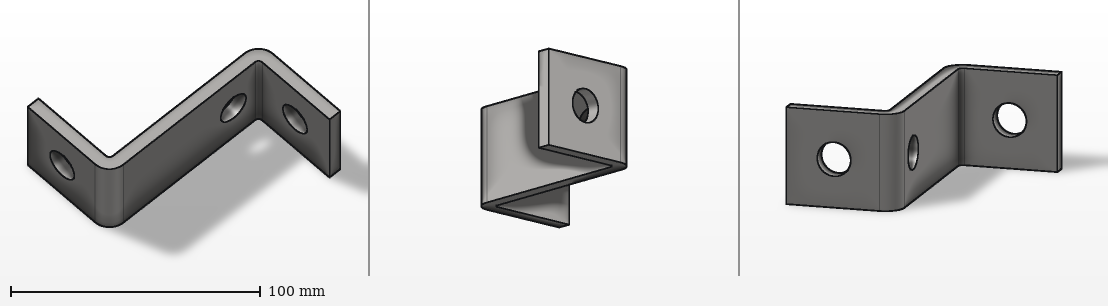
import cadquery as cq

overall_length = 88.0
overall_depth = 89.0
bar_width = 40.0
thickness = 6.0
inner_bend_radius = 2.0
outer_bend_radius = inner_bend_radius + thickness
hole_diameter = 14.0
flange_hole_from_tip = 20.0
web_hole_from_back = 20.0

tip_x = overall_length / 2
face_y = overall_depth / 2
web_half = thickness / 2
flange_mid_y = face_y - thickness / 2
flange_hole_x = tip_x - flange_hole_from_tip
web_hole_y = face_y - web_hole_from_back


def bent_bar():
    """Sharp-cornered Z profile, extruded along Z, with its bends rounded."""
    outline = [
        (-tip_x, -face_y),
        (web_half, -face_y),
        (web_half, face_y - thickness),
        (tip_x, face_y - thickness),
        (tip_x, face_y),
        (-web_half, face_y),
        (-web_half, -face_y + thickness),
        (-tip_x, -face_y + thickness),
    ]
    bar = cq.Workplane("XY").polyline(outline).close().extrude(bar_width / 2, both=True)
    outer_corners = [(web_half, -face_y), (-web_half, face_y)]
    inner_corners = [(web_half, face_y - thickness), (-web_half, -face_y + thickness)]
    bar = round_corners(bar, outer_corners, outer_bend_radius)
    return round_corners(bar, inner_corners, inner_bend_radius)


def round_corners(body, corners, radius):
    """Fillet the vertical edges that stand at the given XY corners."""
    for x, y in corners:
        nearest = cq.selectors.NearestToPointSelector((x, y, 0))
        body = body.edges("|Z").edges(nearest).fillet(radius)
    return body


def flange_hole_cutter(x, flange_y):
    """Cylinder along Y that crosses one flange."""
    cylinder = cq.Workplane("XZ").circle(hole_diameter / 2).extrude(thickness, both=True)
    return cylinder.translate((x, flange_y, 0))


def web_hole_cutter():
    """Cylinder along X that crosses the web."""
    cylinder = cq.Workplane("YZ").circle(hole_diameter / 2).extrude(thickness, both=True)
    return cylinder.translate((0, web_hole_y, 0))


result = bent_bar()
for side in (-1, 1):
    result = result.cut(flange_hole_cutter(side * flange_hole_x, side * flange_mid_y))
result = result.cut(web_hole_cutter())